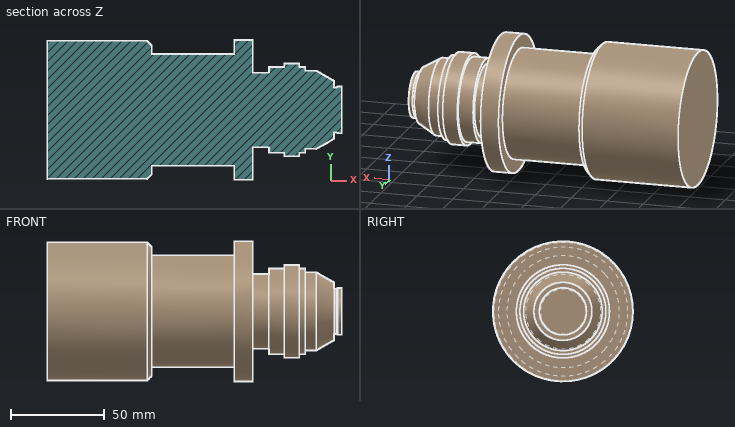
import cadquery as cq
import math


HEAD_DIAMETER = 74.0
HEAD_LENGTH = 56.0
HEAD_CHAMFER = 2.5

SHANK_DIAMETER = 60.0
SHANK_LENGTH = 44.0
FLANGE_DIAMETER = 75.0
FLANGE_LENGTH = 10.0

NECK_DIAMETER = 40.0
NECK_LENGTH = 8.5
SHOULDER_DIAMETER = 46.0
REAR_SHOULDER_LENGTH = 8.2
FRONT_SHOULDER_LENGTH = 3.3
COLLAR_DIAMETER = 49.8
COLLAR_LENGTH = 8.1
NOSE_DIAMETER = 42.0
NOSE_LENGTH = 5.8
CONE_LENGTH = 9.5
CONE_ANGLE = 30.0
CONE_END_DIAMETER = NOSE_DIAMETER - 2 * CONE_LENGTH * math.tan(math.radians(CONE_ANGLE))

OVERALL_LENGTH = 157.6
RELIEF_DIAMETER = 24.2
RELIEF_LENGTH = 1.1
LIP_DIAMETER = 25.2
LIP_TAPER_LENGTH = 0.9

STEPS = [
    (HEAD_LENGTH - HEAD_CHAMFER, HEAD_DIAMETER, HEAD_DIAMETER),
    (HEAD_CHAMFER, HEAD_DIAMETER, HEAD_DIAMETER - 2 * HEAD_CHAMFER),
    (SHANK_LENGTH, SHANK_DIAMETER, SHANK_DIAMETER),
    (FLANGE_LENGTH, FLANGE_DIAMETER, FLANGE_DIAMETER),
    (NECK_LENGTH, NECK_DIAMETER, NECK_DIAMETER),
    (REAR_SHOULDER_LENGTH, SHOULDER_DIAMETER, SHOULDER_DIAMETER),
    (COLLAR_LENGTH, COLLAR_DIAMETER, COLLAR_DIAMETER),
    (FRONT_SHOULDER_LENGTH, SHOULDER_DIAMETER, SHOULDER_DIAMETER),
    (NOSE_LENGTH, NOSE_DIAMETER, NOSE_DIAMETER),
    (CONE_LENGTH, NOSE_DIAMETER, CONE_END_DIAMETER),
    (RELIEF_LENGTH, RELIEF_DIAMETER, RELIEF_DIAMETER),
    (LIP_TAPER_LENGTH, RELIEF_DIAMETER, LIP_DIAMETER),
]


def half_profile():
    """Outline above the axis, as (x, radius) points; the lip fills the remaining length."""
    points = [(0, 0)]
    x = 0
    for length, start_diameter, end_diameter in STEPS:
        start_point = (x, start_diameter / 2)
        if start_point != points[-1]:
            points.append(start_point)
        x += length
        points.append((x, end_diameter / 2))
    points.append((OVERALL_LENGTH, LIP_DIAMETER / 2))
    points.append((OVERALL_LENGTH, 0))
    return points


def turn(points):
    """Revolve a half profile about the X axis."""
    return cq.Workplane("XY").polyline(points).close().revolve(360, (0, 0, 0), (1, 0, 0))


result = turn(half_profile())